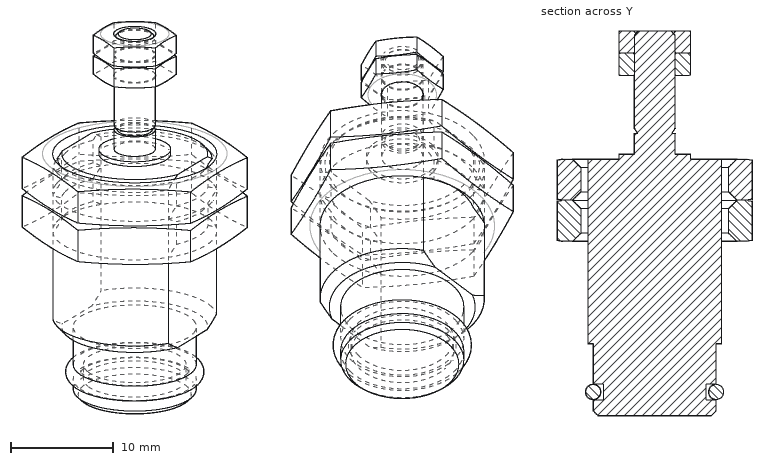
import cadquery as cq
import math

spigot_diameter = 12.0
spigot_height = 7.0
spigot_chamfer = 0.5
thread_diameter = 16.0
thread_flat_width = 13.0
thread_top = 25.0
thread_chamfer_height = 1.0
thread_chamfer_width = 0.9

collar_diameter = 7.0
collar_height = 0.5
stud_diameter = 4.0
stud_top = 37.5
stud_end_diameter = 3.22
stud_neck_diameter = 3.38
stud_neck_bottom = 27.52
stud_neck_height = 0.5

ring_section = 1.5
ring_outer_diameter = 13.5
ring_height = 2.32
ring_groove_diameter = 10.0

nut_count = 2
large_nut_flats = 19.0
large_nut_height = 4.0
large_nut_face = 18.0
large_nut_corner_drop = 0.38
large_nut_bore = 14.35
large_nut_countersink = thread_diameter
small_nut_flats = 7.0
small_nut_height = 2.18
small_nut_face = 6.68
small_nut_corner_drop = 0.15
small_nut_bore = stud_end_diameter
small_nut_countersink = 4.12


def cylinder(diameter, bottom, top):
    return cq.Workplane("XY").workplane(offset=bottom).circle(diameter / 2).extrude(top - bottom)


def revolve_profile(points):
    """Turn a closed (radius, height) outline about the Z axis."""
    return cq.Workplane("XZ").polyline(points).close().revolve(360, (0, 0), (0, 1))


def make_spigot():
    spigot = cylinder(spigot_diameter, 0, spigot_height).faces("<Z").chamfer(spigot_chamfer)
    groove_bottom = ring_height - ring_section / 2
    groove_top = ring_height + ring_section / 2
    groove = cylinder(spigot_diameter, groove_bottom, groove_top).cut(
        cylinder(ring_groove_diameter, groove_bottom, groove_top)
    )
    return spigot.cut(groove)


def make_threaded_barrel():
    """Cylinder chamfered at both ends, with two opposite flats facing -X and +X."""
    radius = thread_diameter / 2
    end_radius = radius - thread_chamfer_width
    barrel = revolve_profile([
        (0, spigot_height),
        (end_radius, spigot_height),
        (radius, spigot_height + thread_chamfer_height),
        (radius, thread_top - thread_chamfer_height),
        (end_radius, thread_top),
        (0, thread_top),
    ])
    flats = (
        cq.Workplane("XY")
        .workplane(offset=spigot_height)
        .rect(thread_flat_width, thread_diameter)
        .extrude(thread_top - spigot_height)
    )
    return barrel.intersect(flats)


def make_stud():
    """Stud with a collar, a one-sided V groove and a chamfered free end."""
    radius = stud_diameter / 2
    end_radius = stud_end_diameter / 2
    collar_radius = collar_diameter / 2
    neck_radius = stud_neck_diameter / 2
    collar_top = thread_top + collar_height
    return revolve_profile([
        (0, thread_top),
        (collar_radius, thread_top),
        (collar_radius, collar_top),
        (radius, collar_top),
        (radius, stud_neck_bottom),
        (neck_radius, stud_neck_bottom),
        (radius, stud_neck_bottom + stud_neck_height),
        (radius, stud_top - (radius - end_radius)),
        (end_radius, stud_top),
        (0, stud_top),
    ])


def make_housing():
    return make_spigot().union(make_threaded_barrel()).union(make_stud())


def make_sealing_ring():
    center_radius = (ring_outer_diameter - ring_section) / 2
    return (
        cq.Workplane("XZ")
        .center(center_radius, ring_height)
        .circle(ring_section / 2)
        .revolve(360, (-center_radius, 0), (-center_radius, 1))
    )


def make_nut(flats, height, face_diameter, corner_drop, bore, countersink):
    """Hex nut on Z = 0, corners on the Y axis, both faces coned at the corners and countersunk."""
    corner_radius = flats / math.sqrt(3)
    face_radius = face_diameter / 2
    bore_radius = bore / 2
    countersink_radius = countersink / 2
    countersink_depth = countersink_radius - bore_radius
    hexagon = (
        cq.Workplane("XY").polygon(6, 2 * corner_radius).extrude(height).rotate((0, 0, 0), (0, 0, 1), 30)
    )
    envelope = revolve_profile([
        (bore_radius, countersink_depth),
        (countersink_radius, 0),
        (face_radius, 0),
        (corner_radius, corner_drop),
        (corner_radius, height - corner_drop),
        (face_radius, height),
        (countersink_radius, height),
        (bore_radius, height - countersink_depth),
    ])
    return hexagon.intersect(envelope)


def stack_nuts(nut, height, stack_top, core):
    """Copies of a nut stacked down from stack_top, each hollowed to seat on the core it is screwed onto."""
    return [
        nut.translate((0, 0, stack_top - (index + 1) * height)).cut(core)
        for index in range(nut_count)
    ]


housing = make_housing()
sealing_ring = make_sealing_ring()

large_nut = make_nut(
    large_nut_flats, large_nut_height, large_nut_face, large_nut_corner_drop, large_nut_bore,
    large_nut_countersink,
)
large_nuts = stack_nuts(large_nut, large_nut_height, thread_top, housing)

small_nut = make_nut(
    small_nut_flats, small_nut_height, small_nut_face, small_nut_corner_drop, small_nut_bore,
    small_nut_countersink,
)
small_nuts = stack_nuts(small_nut, small_nut_height, stud_top, housing)

result = cq.Compound.makeCompound([
    housing.val(),
    sealing_ring.val(),
    *[solid for nut in large_nuts + small_nuts for solid in nut.solids().vals()],
])